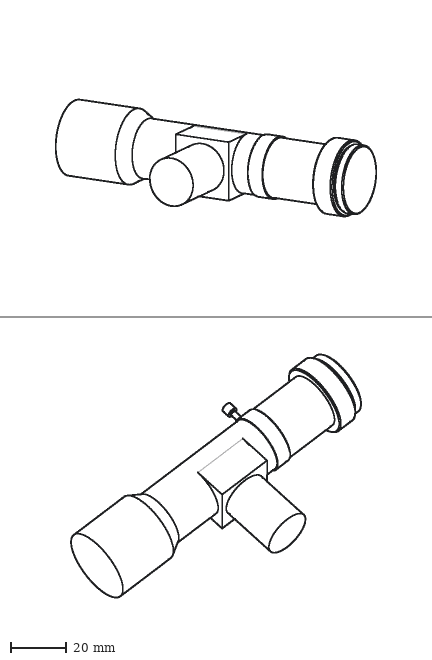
import cadquery as cq

objective_end = 24.8
cone_end = 30.1
band_start = 78.5
band_end = 84.5
collar_start = 106.7
collar_end = 114.7
groove_end = 115.5
total_length = 118.7

objective_radius = 14.0
tube_radius = 11.0
band_radius = 11.5
collar_radius = objective_radius
groove_radius = 12.2
rim_radius = 12.7
edge_chamfer = 0.5

port_x = 60.5
block_width = 2 * tube_radius
block_reach = 13.2
port_radius = 9.0
port_reach = 36.1

screw_x = (band_start + band_end) / 2
screw_tip = 9.5
screw_head_start = 15.8
screw_end = 19.5
shank_radius = 1.1
head_radius = 2.0
head_chamfer = 0.5


def cylinder_along_y(x, radius, y_start, y_end):
    """Cylinder parallel to Y, centred at the given X and Z = 0."""
    base = cq.Plane(origin=(x, y_start, 0), xDir=(1, 0, 0), normal=(0, 1, 0))
    return cq.Workplane(base).circle(radius).extrude(y_end - y_start)


def make_barrel():
    """Turned lens barrel, revolved about X."""
    outline = [
        (0, 0),
        (0, objective_radius),
        (objective_end, objective_radius),
        (cone_end, tube_radius),
        (band_start, tube_radius),
        (band_start, band_radius),
        (band_end, band_radius),
        (band_end, tube_radius),
        (collar_start, tube_radius),
        (collar_start, collar_radius - edge_chamfer),
        (collar_start + edge_chamfer, collar_radius),
        (collar_end - edge_chamfer, collar_radius),
        (collar_end, collar_radius - edge_chamfer),
        (collar_end, groove_radius),
        (groove_end, groove_radius),
        (groove_end, rim_radius),
        (total_length - edge_chamfer, rim_radius),
        (total_length, rim_radius - edge_chamfer),
        (total_length, 0),
    ]
    return cq.Workplane("XY").polyline(outline).close().revolve(360, (0, 0, 0), (1, 0, 0))


def make_side_port():
    """Square block with a round port, reaching out from the axis toward -Y."""
    block = (
        cq.Workplane("XY")
        .box(block_width, block_reach, block_width)
        .translate((port_x, -block_reach / 2, 0))
    )
    return block.union(cylinder_along_y(port_x, port_radius, -port_reach, 0))


def make_housing():
    """Barrel and side port in one piece, with a blind hole for the thumbscrew."""
    screw_hole = cylinder_along_y(screw_x, shank_radius, screw_tip, screw_head_start)
    return make_barrel().union(make_side_port()).cut(screw_hole)


def make_thumbscrew():
    """Plain shank and a head chamfered on its inner edge."""
    shank = cylinder_along_y(screw_x, shank_radius, screw_tip, screw_head_start)
    head = cylinder_along_y(screw_x, head_radius, screw_head_start, screw_end)
    head = head.faces("<Y").edges().chamfer(head_chamfer)
    return shank.union(head)


housing = make_housing()
thumbscrew = make_thumbscrew()

result = cq.Compound.makeCompound([housing.val(), thumbscrew.val()])